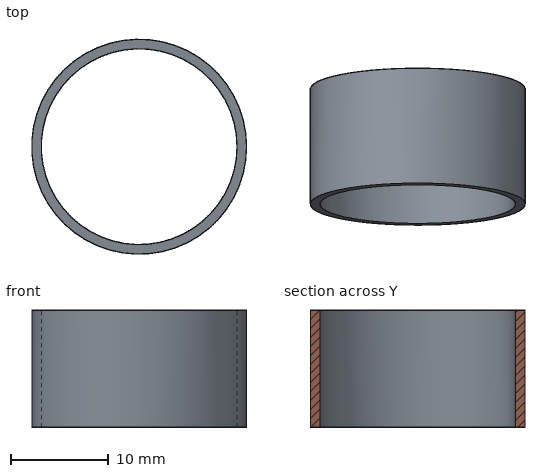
import cadquery as cq

outer_diameter = 22.0
inner_diameter = 20.0
height = 12.0

result = (
    cq.Workplane("XY")
    .circle(outer_diameter / 2)
    .circle(inner_diameter / 2)
    .extrude(height)
)